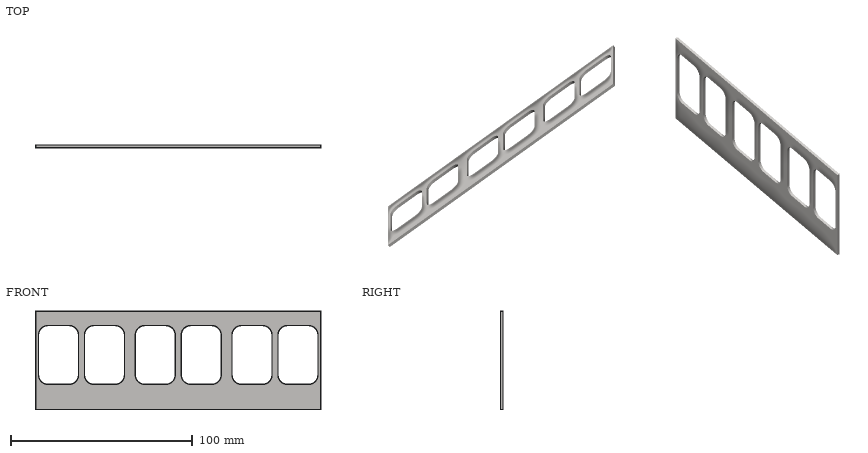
import cadquery as cq

plate_length = 157.5
plate_thickness = 1.5
plate_height = 54.3

window_width = 21.9
window_height = 32.3
window_corner_radius = 5.0
top_margin = 8.0
pair_count = 3
pair_pitch = 53.4
window_pitch = 25.4

window_center_z = plate_height / 2 - top_margin - window_height / 2


def window_centers():
    """Return the (x, z) window centers, symmetric about the middle of the plate."""
    centers = []
    for pair in range(pair_count):
        pair_x = (pair - (pair_count - 1) / 2) * pair_pitch
        for side in (-1, 1):
            centers.append((pair_x + side * window_pitch / 2, window_center_z))
    return centers


def make_window(center_x, center_z):
    """Return a rounded block that cuts one window through the plate."""
    block = cq.Workplane("XY").box(window_width, plate_thickness, window_height)
    rounded = block.edges("|Y").fillet(window_corner_radius)
    return rounded.translate((center_x, 0, center_z))


result = cq.Workplane("XY").box(plate_length, plate_thickness, plate_height)
for x, z in window_centers():
    result = result.cut(make_window(x, z))